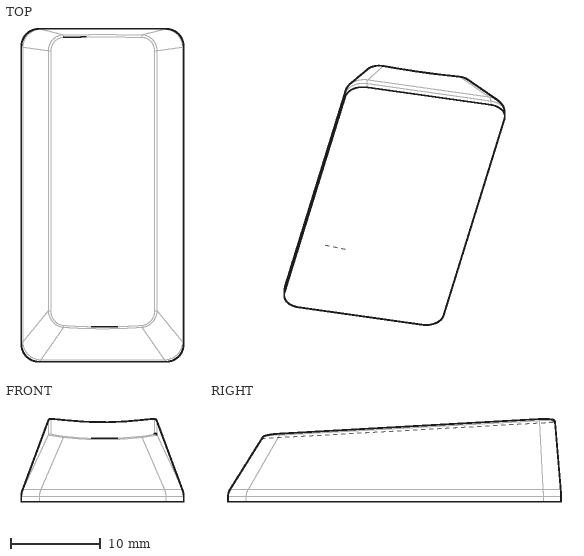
import cadquery as cq
import math

width = 18.15
length = 37.2
skirt_corner_radius = 2.0

shoulder_bottom = 0.6
shoulder_top = 1.4

side_inset = 3.1
back_inset = 0.7
front_inset = 4.1
rim_back_height = 9.38
rim_front_height = 7.55
top_corner_radius = 1.7

dish_sag = 0.465
rim_radius = 0.25

overshoot = 1.15

rim_half_width = width / 2 - side_inset
rim_back_y = length / 2 - back_inset
rim_front_y = front_inset - length / 2
tilt = math.atan2(rim_back_height - rim_front_height, rim_back_y - rim_front_y)
dish_radius = (rim_half_width**2 + dish_sag**2) / (2 * dish_sag)

bend_height = (shoulder_bottom + shoulder_top) / 2
rim_middle_height = (rim_back_height + rim_front_height) / 2

side_slope = side_inset / (rim_middle_height - bend_height)
back_slope = back_inset / (rim_back_height - bend_height)
front_slope = front_inset / (rim_front_height - bend_height)


def rounded_outline(half_width, front, back, radius):
    """Rounded rectangle through two (y, z) points on its front and back sides."""
    front_y, front_z = front
    back_y, back_z = back
    plane = cq.Plane(
        origin=(0, (back_y + front_y) / 2, (back_z + front_z) / 2),
        xDir=(1, 0, 0),
        normal=(0, front_z - back_z, back_y - front_y),
    )
    depth = math.hypot(back_y - front_y, back_z - front_z)
    rectangle = cq.Workplane(plane).rect(2 * half_width, depth).val()
    return rectangle.fillet2D(radius, rectangle.Vertices())


def shoulder_outline(height):
    """Level outline of the shoulder: a parabola from upright to the side slope."""
    band = shoulder_top - shoulder_bottom
    run = (height - shoulder_bottom) ** 2 / (2 * band)
    return rounded_outline(
        width / 2 - side_slope * run,
        (front_slope * run - length / 2, height),
        (length / 2 - back_slope * run, height),
        skirt_corner_radius,
    )


def extend(base, rim):
    """Coordinate beyond the rim on the straight line from base to rim."""
    return base + (rim - base) * overshoot


def raised_top_outline():
    """Tilted outline where the tapered sides end, above the rim."""
    return rounded_outline(
        extend(width / 2, rim_half_width),
        (extend(-length / 2, rim_front_y), extend(bend_height, rim_front_height)),
        (extend(length / 2, rim_back_y), extend(bend_height, rim_back_height)),
        top_corner_radius,
    )


def solid_block():
    """Skirt, shoulder and tapered sides stacked into one solid."""
    bottom = shoulder_outline(shoulder_bottom)
    bend = shoulder_outline(bend_height)
    top = shoulder_outline(shoulder_top)
    skirt = cq.Solid.extrudeLinear(bottom, [], cq.Vector(0, 0, -shoulder_bottom))
    shoulder = cq.Solid.makeLoft([bottom, bend, top])
    taper = cq.Solid.makeLoft([top, raised_top_outline()], True)
    return cq.Workplane(skirt).union(cq.Workplane(shoulder)).union(cq.Workplane(taper))


def dish_cutter():
    """Cylinder along the tilted top, passing through the rim's long edges."""
    along = cq.Vector(0, math.cos(tilt), math.sin(tilt))
    upward = cq.Vector(0, -math.sin(tilt), math.cos(tilt))
    rim_front = cq.Vector(0, rim_front_y, rim_front_height)
    start = rim_front + upward * (dish_radius - dish_sag) - along * length
    return cq.Workplane(cq.Solid.makeCylinder(dish_radius, 3 * length, start, along))


dished = solid_block().cut(dish_cutter())
dish_face = dished.faces("%CYLINDER").faces(">Z")
result = dish_face.edges().fillet(rim_radius)